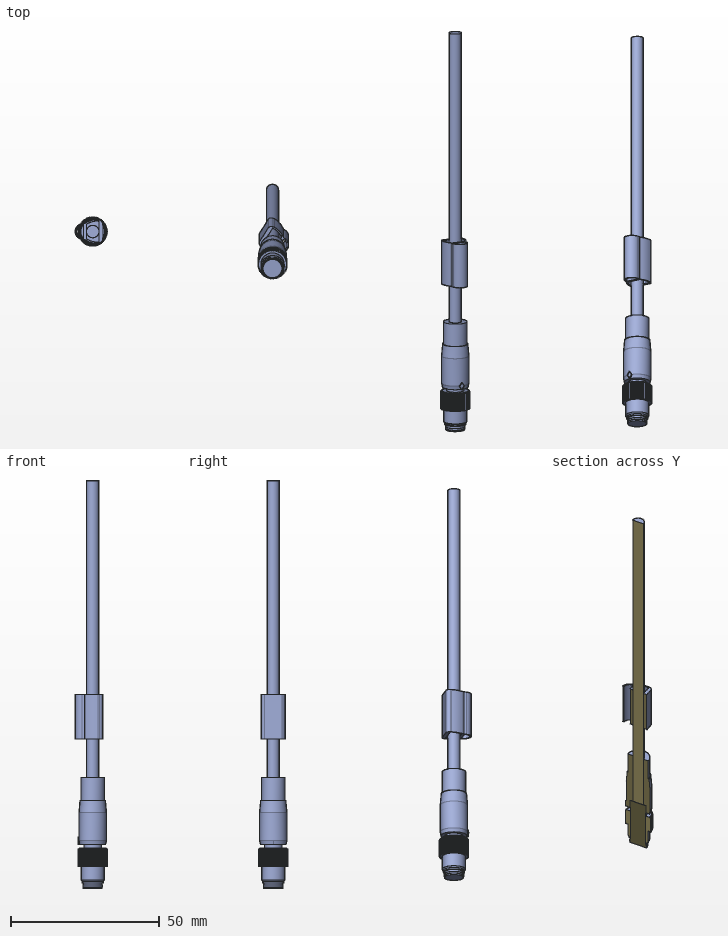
import cadquery as cq
import math

TOTAL_LENGTH = 137.3
CABLE_RADIUS = 2.1

GRIP_BOTTOM = 14.8
GRIP_BARREL_BOTTOM = 16.1
GRIP_BARREL_TOP = 25.6
GRIP_STEP_Z = 29.7
GRIP_TOP = 37.4
GRIP_END_RADIUS = 4.35
GRIP_BARREL_RADIUS = 4.65
GRIP_STEP_RADIUS = 4.3
GRIP_TAIL_RADIUS = 4.0

MARK_REACH = 4.95
MARK_WIDTH = 1.8
MARK_HEIGHT = 2.5
MARK_DEPTH = 1.0
MARK_CENTRE_Z = GRIP_BOTTOM + MARK_HEIGHT / 2

CARRIER_RADIUS = 3.0
CARRIER_INSERTION = 3.0
CARRIER_TOP = GRIP_BOTTOM + CARRIER_INSERTION
CARRIER_FACE_RADIUS = 3.2
CARRIER_FACE_LENGTH = 1.9
BEAD_RADIUS = 3.35
BEAD_BOTTOM = 0.5
BEAD_TOP = 1.1

SLEEVE_RADIUS = 3.95
SLEEVE_BOTTOM = 2.9
SLEEVE_LIP_RADIUS = 3.6
SLEEVE_LIP_BEVEL = 0.5
KNURL_BOTTOM = 7.4
KNURL_TOP = 13.6
KNURL_RADIUS = 4.95
KNURL_DEPTH = 0.25
KNURL_ROOT_RADIUS = KNURL_RADIUS - KNURL_DEPTH
KNURL_COUNT = 60
KNURL_EDGE_BEVEL = 0.45

CLIP_BOTTOM = 50.3
CLIP_LENGTH = 15.0
CLIP_WALL = 0.5
CLIP_TIP_X = -5.94
CLIP_TIP_END = (-3.65, 2.6)
CLIP_NECK = (-2.8, 2.65)
CLIP_FLANK_START = (-2.4, 2.85)
CLIP_FLANK_MID = (-0.6, 3.7)
CLIP_FLANK_END = (1.8, 4.05)
CLIP_CORNER_START = (2.2, 3.95)
CLIP_BACK_X = 3.4
CLIP_BACK_HALF_WIDTH = 2.9
CLIP_CORNER_MID = (2.95, 3.65)
PLATE_THICKNESS = 1.0


def revolved(profile):
    """Solid of revolution from (height, radius) points, closed along the Z axis."""
    points = [(radius, height) for height, radius in profile]
    points = [(0, profile[0][0])] + points + [(0, profile[-1][0])]
    outline = cq.Workplane("XZ").polyline(points).close()
    return outline.revolve(360, (0, 0, 0), (0, 1, 0))


def cylinder(radius, bottom, top):
    return cq.Workplane().workplane(offset=bottom).circle(radius).extrude(top - bottom)


def make_cable():
    return cylinder(CABLE_RADIUS, CARRIER_TOP, TOTAL_LENGTH)


def make_grip():
    mark = (
        cq.Workplane("YZ", origin=(-MARK_REACH, 0, MARK_CENTRE_Z))
        .polyline([
            (-MARK_WIDTH / 2, 0),
            (0, MARK_HEIGHT / 2),
            (MARK_WIDTH / 2, 0),
            (0, -MARK_HEIGHT / 2),
        ])
        .close()
        .extrude(MARK_DEPTH)
    )
    moulding = revolved([
        (GRIP_BOTTOM, GRIP_END_RADIUS),
        (GRIP_BARREL_BOTTOM, GRIP_BARREL_RADIUS),
        (GRIP_BARREL_TOP, GRIP_BARREL_RADIUS),
        (GRIP_STEP_Z, GRIP_STEP_RADIUS),
        (GRIP_STEP_Z, GRIP_TAIL_RADIUS),
        (GRIP_TOP, GRIP_TAIL_RADIUS),
    ])
    socket = cylinder(CARRIER_RADIUS, GRIP_BOTTOM, CARRIER_TOP)
    cable_bore = cylinder(CABLE_RADIUS, GRIP_BOTTOM, GRIP_TOP)
    return moulding.union(mark).cut(socket).cut(cable_bore)


def make_carrier():
    return revolved([
        (0, CARRIER_FACE_RADIUS),
        (BEAD_BOTTOM, CARRIER_FACE_RADIUS),
        (BEAD_BOTTOM, BEAD_RADIUS),
        (BEAD_TOP, BEAD_RADIUS),
        (BEAD_TOP, CARRIER_FACE_RADIUS),
        (CARRIER_FACE_LENGTH, CARRIER_FACE_RADIUS),
        (CARRIER_FACE_LENGTH, CARRIER_RADIUS),
        (CARRIER_TOP, CARRIER_RADIUS),
    ])


def make_knurl():
    """Ring of V-shaped ridges, bevelled at its upper edge."""
    pitch = 2 * math.pi / KNURL_COUNT
    points = []
    for ridge in range(KNURL_COUNT):
        for radius, angle in ((KNURL_RADIUS, ridge * pitch), (KNURL_ROOT_RADIUS, (ridge + 0.5) * pitch)):
            points.append((radius * math.cos(angle), radius * math.sin(angle)))
    height = KNURL_TOP - KNURL_BOTTOM
    ridges = cq.Workplane().workplane(offset=KNURL_BOTTOM).polyline(points).close().extrude(height)

    bevelled_envelope = revolved([
        (KNURL_BOTTOM, KNURL_RADIUS),
        (KNURL_TOP - KNURL_EDGE_BEVEL, KNURL_RADIUS),
        (KNURL_TOP, KNURL_RADIUS - KNURL_EDGE_BEVEL),
    ])
    return ridges.intersect(bevelled_envelope)


def make_nut():
    sleeve = revolved([
        (CARRIER_FACE_LENGTH, SLEEVE_LIP_RADIUS),
        (SLEEVE_BOTTOM - SLEEVE_LIP_BEVEL, SLEEVE_LIP_RADIUS),
        (SLEEVE_BOTTOM, SLEEVE_RADIUS),
        (KNURL_BOTTOM, SLEEVE_RADIUS),
    ])
    bore = cylinder(CARRIER_RADIUS, CARRIER_FACE_LENGTH, KNURL_TOP)
    return sleeve.union(make_knurl()).cut(bore)


def clip_outline():
    """Teardrop: round tip at -X, bowed flanks, flat back with rounded corners at +X."""
    def mirrored(point):
        return (point[0], -point[1])

    back = (CLIP_BACK_X, CLIP_BACK_HALF_WIDTH)
    return (
        cq.Workplane()
        .workplane(offset=CLIP_BOTTOM)
        .moveTo(*mirrored(CLIP_TIP_END))
        .threePointArc((CLIP_TIP_X, 0), CLIP_TIP_END)
        .lineTo(*CLIP_NECK)
        .lineTo(*CLIP_FLANK_START)
        .threePointArc(CLIP_FLANK_MID, CLIP_FLANK_END)
        .lineTo(*CLIP_CORNER_START)
        .threePointArc(CLIP_CORNER_MID, back)
        .lineTo(*mirrored(back))
        .threePointArc(mirrored(CLIP_CORNER_MID), mirrored(CLIP_CORNER_START))
        .lineTo(*mirrored(CLIP_FLANK_END))
        .threePointArc(mirrored(CLIP_FLANK_MID), mirrored(CLIP_FLANK_START))
        .lineTo(*mirrored(CLIP_NECK))
        .close()
    )


def make_clip():
    """Open tube with an inner plate and a thick back wall that hold the cable between them."""
    outer = clip_outline().extrude(CLIP_LENGTH)
    cavity = clip_outline().offset2D(-CLIP_WALL).extrude(CLIP_LENGTH)

    def slab(start_x, end_x):
        centre = ((start_x + end_x) / 2, 0, CLIP_BOTTOM)
        width = 2 * CLIP_FLANK_END[1]
        return cq.Workplane(origin=centre).rect(end_x - start_x, width).extrude(CLIP_LENGTH)

    plate = slab(-CABLE_RADIUS - PLATE_THICKNESS, -CABLE_RADIUS)
    back_wall = slab(CABLE_RADIUS, CLIP_BACK_X)
    return outer.cut(cavity.cut(plate).cut(back_wall))


cable = make_cable()
grip = make_grip()
carrier = make_carrier()
nut = make_nut()
clip = make_clip()

result = cq.Compound.makeCompound([cable.val(), grip.val(), carrier.val(), nut.val(), clip.val()])